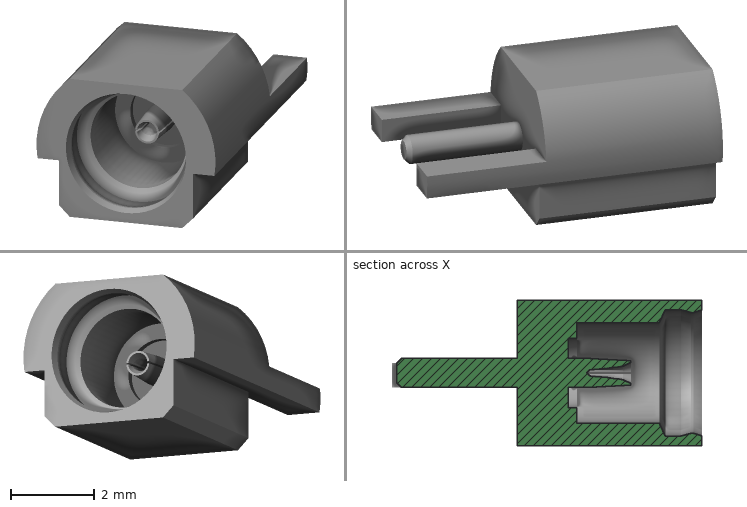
import cadquery as cq
import math

body_radius = 2.25
body_height = 3.5
body_length = 4.44
lower_width = 3.38
shoulder_z = -0.345

overall_length = 7.44
leg_top_z = 0.235
leg_inner_x = 1.39
pin_diameter = 0.71
pin_length = 2.89
pin_chamfer = 0.12

mouth_diameter = 3.02
throat_diameter = 2.89
groove_diameter = 3.02
seat_diameter = 2.41
throat_start = 0.2
throat_end = 0.26
groove_start = 0.5
groove_end = 0.88
seat_start = 1.02
bore_depth = 3.0

insulator_diameter = 1.65
insulator_step = 0.2
contact_length = 1.5
contact_tip_diameter = 0.6
socket_mouth_radius = 0.25
socket_half_width = 0.21
socket_neck_half_height = 0.155
socket_floor_half_width = 0.18
socket_floor_half_height = 0.065
socket_neck_depth = 0.2
socket_depth = 1.0
socket_slot_width = 0.05
centre_pit_diameter = 0.12
centre_pit_depth = 0.06


def box_between(x_range, y_range, z_range):
    """Box spanning the three given (low, high) ranges."""
    sizes = [high - low for low, high in (x_range, y_range, z_range)]
    corner = (x_range[0], y_range[0], z_range[0])
    return cq.Workplane("XY").box(*sizes, centered=False).translate(corner)


def rod_along_y(diameter, start, end):
    """Cylinder on the Y axis from start to end."""
    plane = cq.Workplane("XZ", origin=(0, start, 0))
    return plane.circle(diameter / 2).extrude(start - end)


def turned(profile):
    """Solid of revolution about Y from (radius, y) points."""
    return cq.Workplane("XY").polyline(profile).close().revolve(360, (0, 0, 0), (0, 1, 0))


def make_body():
    half_height = body_height / 2
    half_width = lower_width / 2
    body_y = (0, body_length)
    bar = rod_along_y(2 * body_radius, 0, body_length)
    upper = bar.intersect(box_between((-body_radius, body_radius), body_y, (shoulder_z, half_height)))
    flat_half_width = math.sqrt(body_radius**2 - half_height**2)
    lower = box_between((-half_width, half_width), body_y, (-half_height, shoulder_z))
    lower = lower.edges("|Y and <Z").chamfer(half_width - flat_half_width)
    return upper.union(lower)


def make_legs():
    bar = rod_along_y(2 * body_radius, 0, overall_length)
    leg_y = (body_length, overall_length)
    leg_z = (shoulder_z, leg_top_z)
    right = box_between((leg_inner_x, body_radius), leg_y, leg_z)
    left = right.mirror("YZ")
    return bar.intersect(right.union(left))


def make_rear_pin():
    pin = rod_along_y(pin_diameter, body_length, body_length + pin_length)
    return pin.faces(">Y").chamfer(pin_chamfer)


def make_bore():
    return turned([
        (0, 0),
        (mouth_diameter / 2, 0),
        (throat_diameter / 2, throat_start),
        (throat_diameter / 2, throat_end),
        (groove_diameter / 2, groove_start),
        (groove_diameter / 2, groove_end),
        (seat_diameter / 2, seat_start),
        (seat_diameter / 2, bore_depth),
        (0, bore_depth),
    ])


def make_insulator_recess():
    return rod_along_y(insulator_diameter, bore_depth, bore_depth + insulator_step)


def make_socket(tip, socket_floor):
    """Cavity round at the contact tip, narrowing to a flat slit floor with a centre pit."""
    neck_y = tip + socket_neck_depth
    entry = (
        cq.Workplane("XZ", origin=(0, tip, 0))
        .ellipse(socket_mouth_radius, socket_mouth_radius)
        .workplane(offset=tip - neck_y)
        .ellipse(socket_half_width, socket_neck_half_height)
        .loft(ruled=True)
    )
    inner = (
        cq.Workplane("XZ", origin=(0, neck_y, 0))
        .ellipse(socket_half_width, socket_neck_half_height)
        .workplane(offset=neck_y - socket_floor)
        .rect(2 * socket_floor_half_width, 2 * socket_floor_half_height)
        .loft(ruled=True)
    )
    pit = turned([
        (0, socket_floor),
        (centre_pit_diameter / 2, socket_floor),
        (0, socket_floor + centre_pit_depth),
    ])
    return entry.union(inner).union(pit)


def make_contact():
    root = bore_depth + insulator_step
    tip = root - contact_length
    socket_floor = tip + socket_depth
    contact = turned([
        (0, tip),
        (contact_tip_diameter / 2, tip),
        (pin_diameter / 2, socket_floor),
        (pin_diameter / 2, root),
        (0, root),
    ])
    half_slot = socket_slot_width / 2
    slot = box_between((-pin_diameter, pin_diameter), (tip, socket_floor), (-half_slot, half_slot))
    return contact.cut(make_socket(tip, socket_floor)).cut(slot)


result = (
    make_body()
    .cut(make_bore())
    .cut(make_insulator_recess())
    .union(make_contact())
    .union(make_legs())
    .union(make_rear_pin())
)